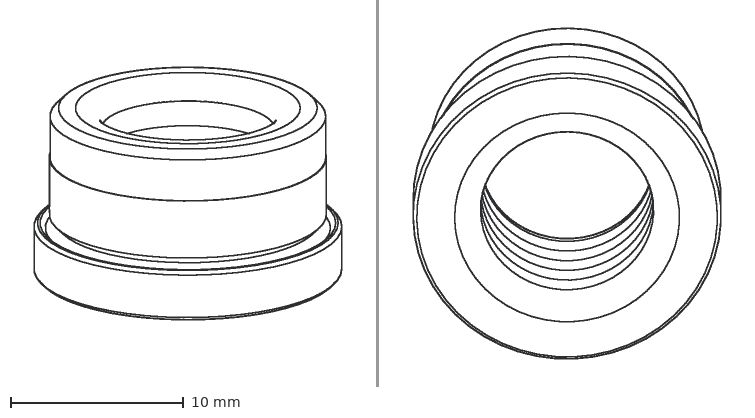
import cadquery as cq
import math

height = 10.0
flange_radius = 8.9
flange_height = 3.0
flange_chamfer = 0.21

lead_radius = 7.97
seat_radius = 8.01
seat_top = 7.01
top_chamfer = 0.5

neck_radius = 7.58
relief_depth = 0.3
relief_outer_radius = 8.55
relief_floor = flange_height - relief_depth
seat_bottom = 3.55
seat_relief = seat_radius - neck_radius

liner_radius = 6.5
bore_radius = 5.0
mouth_fillet = 1.0

groove_count = 3
groove_pitch = 3.0
groove_width = 1.5


def revolve(profile):
    """Turn a closed profile of radius and height about the Z axis."""
    return profile.close().revolve(360, (0, 0, 0), (0, 1, 0))


def make_bushing():
    """Headed bushing with a relief groove under its shank and a plain bore."""
    profile = (
        cq.Workplane("XZ")
        .moveTo(liner_radius, 0)
        .lineTo(flange_radius - flange_chamfer, 0)
        .lineTo(flange_radius, flange_chamfer)
        .lineTo(flange_radius, flange_height - flange_chamfer)
        .lineTo(flange_radius - flange_chamfer, flange_height)
        .lineTo(relief_outer_radius, flange_height)
        .lineTo(relief_outer_radius - relief_depth, relief_floor)
        .lineTo(neck_radius + relief_depth, relief_floor)
        .radiusArc((neck_radius, flange_height), relief_depth)
        .lineTo(neck_radius, seat_bottom - seat_relief)
        .lineTo(seat_radius, seat_bottom)
        .lineTo(seat_radius, seat_top)
        .lineTo(lead_radius, seat_top)
        .lineTo(lead_radius, height - top_chamfer)
        .lineTo(lead_radius - top_chamfer, height)
        .lineTo(liner_radius, height)
    )
    return revolve(profile)


def make_liner():
    """Sleeve with rounded mouths and half-round grooves around its bore."""
    mouth_radius = bore_radius + mouth_fillet
    arc_offset = mouth_fillet * (1 - math.sqrt(0.5))
    profile = (
        cq.Workplane("XZ")
        .moveTo(liner_radius, 0)
        .lineTo(liner_radius, height)
        .lineTo(mouth_radius, height)
        .threePointArc(
            (bore_radius + arc_offset, height - arc_offset),
            (bore_radius, height - mouth_fillet),
        )
        .lineTo(bore_radius, mouth_fillet)
        .threePointArc((bore_radius + arc_offset, arc_offset), (mouth_radius, 0))
    )
    liner = revolve(profile)
    for index in range(groove_count):
        groove_z = height / 2 + (index - (groove_count - 1) / 2) * groove_pitch
        liner = liner.cut(make_oil_groove(groove_z))
    return liner


def make_oil_groove(groove_z):
    """Ring of round section, centred on the bore surface."""
    return cq.Workplane(
        cq.Solid.makeTorus(bore_radius, groove_width / 2, cq.Vector(0, 0, groove_z))
    )


bushing = make_bushing()
liner = make_liner()
result = cq.Compound.makeCompound([bushing.val(), liner.val()])